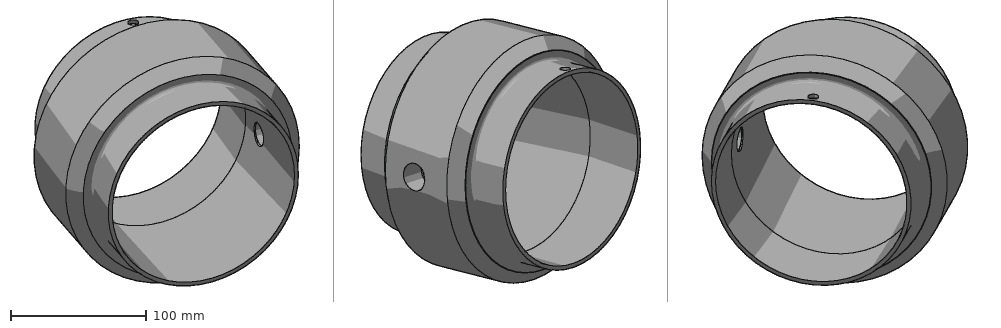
import cadquery as cq
import math

length = 141.2
bore_diameter = 146.1
pipe_diameter = 152.5
shell_diameter = 187.3
shell_width = 81.0
shell_chamfer = 10.0
root_fillet = 3.0

insert_diameter = 168.2
insert_end_x = -23.2

vent_diameter = 7.9
vent_x = -64.3
port_diameter = 18.2
port_x = 2.0
port_mouth_diameter = 21.0
port_lip = 1.0

bore_radius = bore_diameter / 2
pipe_radius = pipe_diameter / 2
shell_radius = shell_diameter / 2
end_x = length / 2
shell_face_x = shell_width / 2


def make_envelope():
    """Revolve the wall section of the complete coupling, both bodies together."""
    flat_x = shell_face_x - shell_chamfer
    face_radius = shell_radius - shell_chamfer
    fillet_x = shell_face_x + root_fillet
    fillet_radius = pipe_radius + root_fillet
    arc_inset = root_fillet * (1 - math.sqrt(0.5))
    arc_x = shell_face_x + arc_inset
    arc_radius = pipe_radius + arc_inset
    return (
        cq.Workplane("XY")
        .moveTo(-end_x, bore_radius)
        .lineTo(-end_x, pipe_radius)
        .lineTo(-fillet_x, pipe_radius)
        .threePointArc((-arc_x, arc_radius), (-shell_face_x, fillet_radius))
        .lineTo(-shell_face_x, face_radius)
        .lineTo(-flat_x, shell_radius)
        .lineTo(flat_x, shell_radius)
        .lineTo(shell_face_x, face_radius)
        .lineTo(shell_face_x, fillet_radius)
        .threePointArc((arc_x, arc_radius), (fillet_x, pipe_radius))
        .lineTo(end_x, pipe_radius)
        .lineTo(end_x, bore_radius)
        .close()
        .revolve(360, (0, 0, 0), (1, 0, 0))
    )


def make_insert_space():
    """Cylinder that the insert occupies, from the -X end to the joint inside the housing."""
    return (
        cq.Workplane("YZ", origin=(-end_x, 0, 0))
        .circle(insert_diameter / 2)
        .extrude(insert_end_x + end_x)
    )


def make_insert():
    """Pipe end with a thick collar and one small vent hole through its +Z wall."""
    vent = (
        cq.Workplane("XY", origin=(vent_x, 0, 0))
        .circle(vent_diameter / 2)
        .extrude(shell_radius)
    )
    return make_envelope().intersect(make_insert_space()).cut(vent)


def make_port():
    """Stepped port along +Y: a thin lip at the bore opening into a wider mouth."""
    port = (
        cq.Workplane("XZ", origin=(port_x, 0, 0))
        .circle(port_diameter / 2)
        .extrude(-shell_radius)
    )
    mouth_floor = bore_radius + port_lip
    mouth = (
        cq.Workplane("XZ", origin=(port_x, mouth_floor, 0))
        .circle(port_mouth_diameter / 2)
        .extrude(mouth_floor - shell_diameter)
    )
    return port.union(mouth)


def make_housing():
    """Outer shell with the +X pipe end, a socket for the insert and a port through its +Y wall."""
    return make_envelope().cut(make_insert_space()).cut(make_port())


housing = make_housing()
insert = make_insert()

result = cq.Compound.makeCompound([
    *housing.vals(),
    *insert.vals(),
])